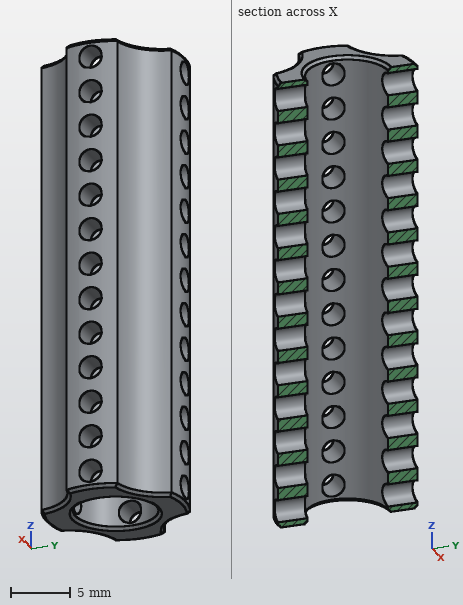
import cadquery as cq
import math

length = 40.6
outer_diameter = 12.5
bore_diameter = 7.2
end_chamfer = 0.3

crest_half_width = 2.27
flute_floor_radius = 4.9
lobe_count = 4

hole_diameter = 2.0
hole_pitch = 3.13
holes_per_row = 13

outer_radius = outer_diameter / 2
lobe_step = 360 / lobe_count
crest_half_angle = math.degrees(math.asin(crest_half_width / outer_radius))


def polar(radius, degrees):
    """Point at the given radius and angle about the tube axis."""
    angle = math.radians(degrees)
    return (radius * math.cos(angle), radius * math.sin(angle))


def fluted_body():
    """Solid bar with convex crests on the axes and concave flutes between them."""
    outline = cq.Workplane("XY").moveTo(*polar(outer_radius, -crest_half_angle))
    for lobe in range(lobe_count):
        crest = lobe * lobe_step
        next_crest = crest + lobe_step
        outline = outline.threePointArc(
            polar(outer_radius, crest),
            polar(outer_radius, crest + crest_half_angle),
        )
        outline = outline.threePointArc(
            polar(flute_floor_radius, crest + lobe_step / 2),
            polar(outer_radius, next_crest - crest_half_angle),
        )
    return outline.close().extrude(length)


def cross_holes(plane):
    """One row of through holes, evenly spaced about mid-length."""
    return (
        cq.Workplane(plane)
        .center(0, length / 2)
        .rarray(0.4, hole_pitch, 1, holes_per_row)
        .circle(hole_diameter / 2)
        .extrude(outer_radius, both=True)
    )


bore = cq.Workplane("XY").circle(bore_diameter / 2).extrude(length)
tube = fluted_body().cut(bore).faces("|Z").edges().chamfer(end_chamfer)

result = tube.cut(cross_holes("XZ")).cut(cross_holes("YZ"))